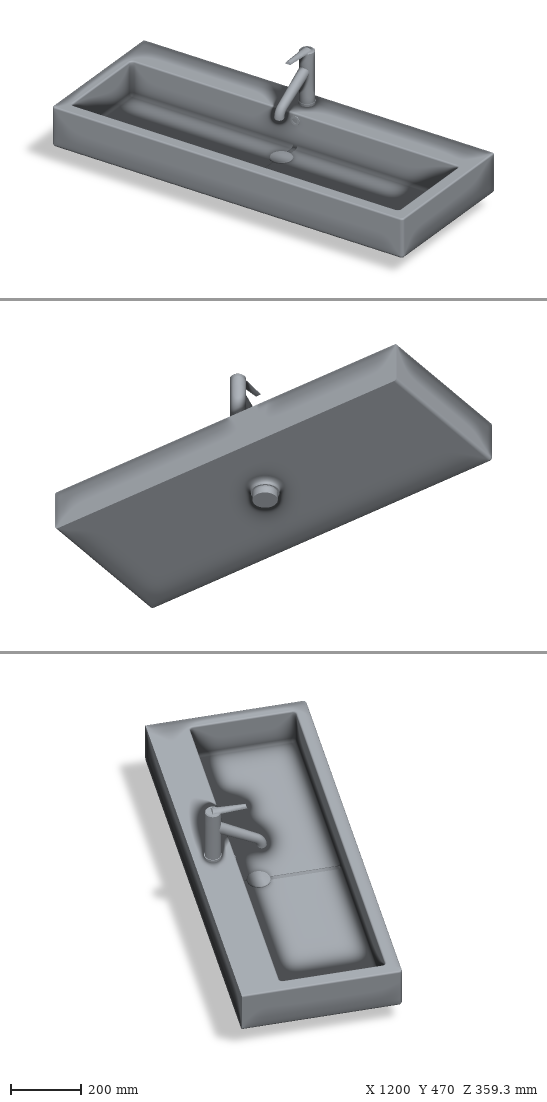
import cadquery as cq
import math


basin_length = 1200.0
basin_depth = 470.0
basin_height = 130.0
outer_round = 10.0
top_round = 5.0
side_rim = 40.0
front_rim = 40.0
back_rim = 120.0
bowl_depth = 112.0
bowl_round = 10.0
rim_margin = 1.0
channel_width = 14.5
channel_depth = 1.5

drain_y = -191.0
drain_boss_diameter = 82.0
drain_boss_height = 19.0
drain_boss_fillet = 15.0
tailpiece_diameter = 72.0
tailpiece_height = 26.0
cover_diameter = 69.0
cover_edge_height = 2.5
cover_chamfer = 2.0
cover_dome_height = 1.5

overflow_z = -23.0
overflow_diameter = 30.0
overflow_hole_diameter = 16.0
overflow_thickness = 2.0

faucet_x = -2.0
faucet_y = -56.0
faucet_gap = 5.0
faucet_top = 184.31
base_diameter = 50.0
base_height = 8.0
column_diameter = 46.0
handle_cap_bottom = 136.5
handle_cap_top = 178.0
handle_cap_chamfer = 3.0

spout_slope = 30.0
spout_axis_z = 123.0
spout_root_offset = 5.0
spout_root_diameter = 35.0
spout_end_diameter = 29.0
outlet_reach = 143.0
elbow_radius = 32.0
aerator_diameter = 25.0
aerator_height = 3.0

lever_height = 9.0
lever_back = 5.0
lever_reach = 99.0
lever_back_width = 30.0
lever_front_width = 16.0
lever_back_slant = 4.0
lever_front_slant = 3.0

bowl_floor_z = -bowl_depth
bowl_back_y = -back_rim
bowl_front_y = front_rim - basin_depth
slope = math.radians(spout_slope)
joint_reach = outlet_reach - elbow_radius * (1 - math.sin(slope))


def cylinder(diameter, bottom_z, top_z, x, y):
    """Upright cylinder about the vertical line through x and y."""
    return (
        cq.Workplane("XY", origin=(x, y, bottom_z))
        .circle(diameter / 2)
        .extrude(top_z - bottom_z)
    )


def make_block():
    block = cq.Workplane("XY").box(
        basin_length, basin_depth, basin_height, centered=(True, False, False)
    )
    block = block.translate((0, -basin_depth, -basin_height))
    block = block.edges("|Z and <Y").fillet(outer_round)
    block = block.faces("<Z").edges("not >Y").fillet(outer_round)
    return block.faces(">Z").edges("not >Y").fillet(top_round)


def make_bowl():
    """Space inside the bowl, with its corners and its floor rounded."""
    bowl = cq.Workplane("XY").box(
        basin_length - 2 * side_rim,
        bowl_back_y - bowl_front_y,
        bowl_depth,
        centered=(True, False, False),
    )
    bowl = bowl.translate((0, bowl_front_y, bowl_floor_z))
    bowl = bowl.edges("|Z").fillet(bowl_round)
    return bowl.faces("<Z").edges().fillet(bowl_round)


def make_channel():
    """Shallow drain channel along the middle of the bowl floor, from wall to wall."""
    height = channel_depth + bowl_round
    channel = cq.Workplane("XY").box(
        channel_width, bowl_back_y - bowl_front_y, height, centered=(True, False, False)
    )
    return channel.translate((0, bowl_front_y, bowl_floor_z - channel_depth))


def make_drain_boss():
    """Boss under the basin that flares into the underside."""
    radius = drain_boss_diameter / 2
    flare = radius + drain_boss_fillet
    bend = drain_boss_fillet * math.sqrt(0.5)
    return (
        cq.Workplane("XZ", origin=(0, drain_y, -basin_height))
        .lineTo(flare, 0)
        .threePointArc((flare - bend, bend - drain_boss_fillet), (radius, -drain_boss_fillet))
        .lineTo(radius, -drain_boss_height)
        .lineTo(0, -drain_boss_height)
        .close()
        .revolve(360, (0, 0), (0, 1))
    )


def make_basin():
    basin = make_block().cut(make_bowl())
    bowl_side_x = basin_length / 2 - side_rim
    rim = cq.selectors.BoxSelector(
        (-bowl_side_x - rim_margin, bowl_front_y - rim_margin, -rim_margin),
        (bowl_side_x + rim_margin, bowl_back_y + rim_margin, rim_margin),
    )
    basin = basin.edges(rim).fillet(top_round)
    return basin.cut(make_channel()).union(make_drain_boss())


def make_tailpiece():
    top_z = -basin_height - drain_boss_height
    return cylinder(tailpiece_diameter, top_z - tailpiece_height, top_z, 0, drain_y)


def make_drain_cover():
    """Chamfered disc with a slightly domed top, lying on the bowl floor over the channel."""
    radius = cover_diameter / 2
    dome_rim = radius - cover_chamfer
    dome_base = cover_edge_height + cover_chamfer
    dome_radius = (dome_rim**2 + cover_dome_height**2) / (2 * cover_dome_height)
    top = dome_base + cover_dome_height
    middle_drop = dome_radius - math.sqrt(dome_radius**2 - (dome_rim / 2) ** 2)
    return (
        cq.Workplane("XZ", origin=(0, drain_y, bowl_floor_z))
        .lineTo(radius, 0)
        .lineTo(radius, cover_edge_height)
        .lineTo(dome_rim, dome_base)
        .threePointArc((dome_rim / 2, top - middle_drop), (0, top))
        .close()
        .revolve(360, (0, 0), (0, 1))
    )


def make_overflow_ring():
    return (
        cq.Workplane("XZ", origin=(0, bowl_back_y, overflow_z))
        .circle(overflow_diameter / 2)
        .circle(overflow_hole_diameter / 2)
        .extrude(overflow_thickness)
    )


def make_spout():
    """Tapered tube from inside the column and the elbow at its end."""
    along = cq.Vector(0, -math.cos(slope), -math.sin(slope))
    root = cq.Vector(faucet_x, faucet_y, spout_axis_z) + along * spout_root_offset
    tube_length = joint_reach / math.cos(slope) - spout_root_offset
    tube = cq.Workplane(
        cq.Solid.makeCone(
            spout_root_diameter / 2, spout_end_diameter / 2, tube_length, root, along
        )
    )
    joint = root + along * tube_length
    elbow = (
        cq.Workplane(cq.Plane(joint, (1, 0, 0), along))
        .circle(spout_end_diameter / 2)
        .revolve(90 - spout_slope, (0, -elbow_radius), (1, -elbow_radius))
    )
    return tube.union(elbow)


def make_faucet_body():
    base = cylinder(base_diameter, faucet_gap, faucet_gap + base_height, faucet_x, faucet_y)
    column = cylinder(column_diameter, faucet_gap, handle_cap_bottom, faucet_x, faucet_y)
    return base.union(column).union(make_spout())


def make_aerator():
    outlet_y = faucet_y - outlet_reach
    joint_z = spout_axis_z - joint_reach * math.tan(slope)
    outlet_z = joint_z - elbow_radius * math.cos(slope)
    return cylinder(aerator_diameter, outlet_z - aerator_height, outlet_z, faucet_x, outlet_y)


def lever_section(workplane, width):
    """Half ellipse with its flat side down."""
    return (
        workplane.moveTo(width / 2, 0)
        .ellipseArc(width / 2, lever_height, 0, 180, startAtCurrent=True)
        .close()
    )


def make_lever():
    back_y = faucet_y + lever_back
    front_y = faucet_y - lever_reach
    bottom_z = faucet_top - lever_height
    start = cq.Workplane("XZ", origin=(faucet_x, back_y, bottom_z))
    bar = lever_section(start, lever_back_width).workplane(offset=back_y - front_y)
    bar = lever_section(bar, lever_front_width).loft(ruled=True)
    side_profile = (
        cq.Workplane("YZ", origin=(faucet_x - lever_back_width / 2, 0, 0))
        .moveTo(back_y, bottom_z)
        .lineTo(front_y, bottom_z)
        .lineTo(front_y + lever_front_slant, faucet_top)
        .lineTo(back_y - lever_back_slant, faucet_top)
        .close()
        .extrude(lever_back_width)
    )
    return bar.intersect(side_profile)


def make_handle():
    cap = cylinder(column_diameter, handle_cap_bottom, handle_cap_top, faucet_x, faucet_y)
    cap = cap.faces(">Z").chamfer(handle_cap_chamfer)
    return cap.union(make_lever())


basin = make_basin()
tailpiece = make_tailpiece()
drain_cover = make_drain_cover()
overflow_ring = make_overflow_ring()
faucet_body = make_faucet_body()
aerator = make_aerator()
handle = make_handle()

result = cq.Compound.makeCompound(
    [
        basin.val(),
        tailpiece.val(),
        drain_cover.val(),
        overflow_ring.val(),
        faucet_body.val(),
        aerator.val(),
        handle.val(),
    ]
)